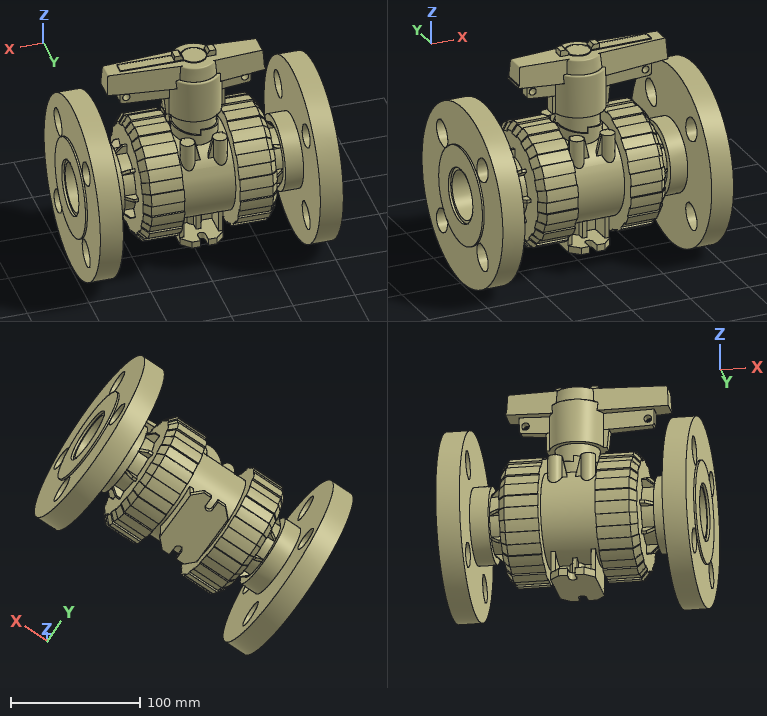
import cadquery as cq
import math


half_length = 100.0
bore_radius = 20.0

flange_radius = 75.0
flange_outer_x = 98.5
flange_inner_x = 79.7
raised_face_radius = 40.5
hub_radius = 30.6
hub_inner_x = 65.0
flange_bore_radius = 22.6

bolt_count = 4
inner_bolt_hole = (49.2, 7.95)
middle_bolt_hole = (52.5, 9.5)
outer_bolt_hole = (55.0, 9.0)

connector_end_x = 98.0
connector_collar_inner_x = 42.0
connector_collar_outer_x = 47.0
neck_radius = 24.6
neck_rib_count = 8
neck_rib_radius = 31.4
neck_rib_thickness = 2.5
neck_rib_slope_start_x = 58.0

nut_inner_x = 22.5
nut_outer_x = 54.3
nut_chamfer_length = 5.1
nut_chamfer_depth = 6.0
nut_ridge_radius = 50.5
nut_valley_radius = 49.0
nut_ridge_count = 16

body_radius = 38.0
stem_neck_radius = 17.6
stem_neck_top = 57.2

ratchet_radius = 19.0
ratchet_tooth_count = 4
ratchet_high = 46.8
ratchet_low = 41.8

post_x = 13.1
post_y = 26.6
post_radius = 5.75
post_top = 43.2
gusset_thickness = 2.9
gusset_slope = 0.235
gusset_y_offset_x = 15.4

foot_width = 35.2
foot_depth = 57.0
foot_corner = 7.5
foot_bottom = -56.2
foot_top = -50.3
foot_slot_width = 6.2
foot_slot_center_y = 21.0
leg_thickness = 3.5
leg_depth = 40.0
center_rib_thickness = 3.7
center_rib_depth = 25.2
foot_boss_radius = 6.2

handle_top = 104.5
handle_hub_radius = 21.9
handle_hub_top = 92.7
handle_hub_round = 1.5
handle_cap_base_radius = 19.4
handle_cap_radius = 17.9
handle_cap_round = 1.3

lever_left_x = -55.3
lever_right_x = 72.8
lever_end_bottom = 87.2
lever_root_bottom = 85.3
lever_root_x = 18.0
lever_left_lean = 0.7
lever_lip_depth = 0.9
lever_lip_top = 89.3
lever_right_lean = 0.9
lever_edge_round = 1.5
lever_root_half_width = 14.3
lever_left_half_width = 10.6
lever_right_half_width = 9.4
lever_side_draft = 2.3

web_root_thickness = 11.2
web_tip_thickness = 8.2
web_left_x = -45.4
web_right_x = 60.9
web_end_bottom = 73.6
web_root_bottom = 72.1
web_corner = 1.3
web_hole_radius = 2.9
web_hole_inset = 5.0
web_hole_z = 79.2
stop_thickness = 9.8
stop_left_x = -24.0
stop_right_top_x = 25.5
stop_right_bottom_x = 24.0

pad_height = 0.8
pad_disc_radius = 10.0
pad_strip_width = 9.0
lug_top = 109.37
lug_inner_x = 9.6
lug_outer_x = 16.7
lug_width = 8.4
lug_chamfer_x = 2.0
lug_chamfer_z = 2.6


def x_cylinder(radius, x_start, x_end):
    """Cylinder on the pipe axis."""
    return cq.Workplane("YZ", origin=(x_start, 0, 0)).circle(radius).extrude(x_end - x_start)


def z_cylinder(radius, z_start, z_end):
    """Cylinder on the stem axis."""
    return cq.Workplane("XY", origin=(0, 0, z_start)).circle(radius).extrude(z_end - z_start)


def block(x_range, y_range, z_range):
    """Box between the given limits."""
    corner = (x_range[0], y_range[0], z_range[0])
    size_x = x_range[1] - x_range[0]
    size_y = y_range[1] - y_range[0]
    size_z = z_range[1] - z_range[0]
    return cq.Workplane("XY", origin=corner).box(size_x, size_y, size_z, centered=False)


def plate_xz(points, thickness):
    """Plate with an outline in the XZ plane, centred on y = 0."""
    return cq.Workplane("XZ").polyline(points).close().extrude(thickness / 2, both=True)


def hole_point(hole, normal_x):
    """Point on a hole's upper half where the outward normal has the given first component."""
    center, radius = hole
    return (center + radius * normal_x, radius * math.sqrt(1 - normal_x ** 2))


def tangent_normal(inner_hole, outer_hole):
    """First component of the normal of the line that touches two holes from above."""
    return (inner_hole[1] - outer_hole[1]) / (outer_hole[0] - inner_hole[0])


def mirrored(point):
    return (point[0], -point[1])


def make_bolt_opening():
    """Oval bolt opening through the flange, lying on the +Y axis."""
    inner_normal = tangent_normal(inner_bolt_hole, middle_bolt_hole)
    outer_normal = tangent_normal(middle_bolt_hole, outer_bolt_hole)
    inner_tangent = hole_point(inner_bolt_hole, inner_normal)
    middle_start = hole_point(middle_bolt_hole, inner_normal)
    middle_top = hole_point(middle_bolt_hole, (inner_normal + outer_normal) / 2)
    middle_end = hole_point(middle_bolt_hole, outer_normal)
    outer_tangent = hole_point(outer_bolt_hole, outer_normal)
    return (
        cq.Workplane("YZ", origin=(flange_inner_x, 0, 0))
        .moveTo(*inner_tangent)
        .lineTo(*middle_start)
        .threePointArc(middle_top, middle_end)
        .lineTo(*outer_tangent)
        .threePointArc(hole_point(outer_bolt_hole, 1), mirrored(outer_tangent))
        .lineTo(*mirrored(middle_end))
        .threePointArc(mirrored(middle_top), mirrored(middle_start))
        .lineTo(*mirrored(inner_tangent))
        .threePointArc(hole_point(inner_bolt_hole, -1), inner_tangent)
        .close()
        .extrude(half_length - flange_inner_x)
    )


def make_flange():
    flange = x_cylinder(flange_radius, flange_inner_x, flange_outer_x)
    flange = flange.union(x_cylinder(raised_face_radius, flange_outer_x, half_length))
    flange = flange.union(x_cylinder(hub_radius, hub_inner_x, flange_inner_x))
    flange = flange.cut(x_cylinder(flange_bore_radius, hub_inner_x, half_length))
    bolt_opening = make_bolt_opening()
    for index in range(bolt_count):
        angle = (index + 0.5) * 360 / bolt_count
        flange = flange.cut(bolt_opening.rotate((0, 0, 0), (1, 0, 0), angle))
    return flange


def make_connector():
    connector = x_cylinder(body_radius, connector_collar_inner_x, connector_collar_outer_x)
    connector = connector.union(x_cylinder(neck_radius, connector_collar_outer_x, hub_inner_x))
    connector = connector.union(x_cylinder(flange_bore_radius, hub_inner_x, connector_end_x))
    rib_root_radius = (bore_radius + neck_radius) / 2
    rib_outline = [
        (nut_outer_x, rib_root_radius),
        (nut_outer_x, neck_rib_radius),
        (neck_rib_slope_start_x, neck_rib_radius),
        (hub_inner_x, neck_radius),
        (hub_inner_x, rib_root_radius),
    ]
    rib = plate_xz(rib_outline, neck_rib_thickness)
    for index in range(neck_rib_count):
        angle = index * 360 / neck_rib_count
        connector = connector.union(rib.rotate((0, 0, 0), (1, 0, 0), angle))
    return connector.cut(x_cylinder(bore_radius, connector_collar_inner_x, connector_end_x))


def nut_blank(radius):
    """Solid of revolution with a chamfered outer end."""
    outline = [
        (nut_inner_x, 0),
        (nut_inner_x, radius),
        (nut_outer_x - nut_chamfer_length, radius),
        (nut_outer_x, radius - nut_chamfer_depth),
        (nut_outer_x, 0),
    ]
    return cq.Workplane("XZ").polyline(outline).close().revolve(360, (0, 0, 0), (1, 0, 0))


def make_nut():
    ridge_pitch = 360 / nut_ridge_count
    half_ridge = math.radians(ridge_pitch / 4)
    reach = 2 * nut_ridge_radius
    sector = (
        cq.Workplane("YZ", origin=(nut_inner_x, 0, 0))
        .polyline([
            (0, 0),
            (reach, -reach * math.tan(half_ridge)),
            (reach, reach * math.tan(half_ridge)),
        ])
        .close()
        .extrude(nut_outer_x - nut_inner_x)
    )
    ridge = nut_blank(nut_ridge_radius).intersect(sector)
    nut = nut_blank(nut_valley_radius)
    for index in range(nut_ridge_count):
        angle = (index + 0.5) * ridge_pitch
        nut = nut.union(ridge.rotate((0, 0, 0), (1, 0, 0), angle))
    nut = nut.cut(x_cylinder(body_radius, nut_inner_x, connector_collar_outer_x))
    return nut.cut(x_cylinder(neck_radius, connector_collar_outer_x, nut_outer_x))


def make_ratchet_collar():
    """Collar round the stem neck whose top is a ring of sloping saw teeth."""
    sector_angle = 360 / ratchet_tooth_count
    half_angle = math.radians(sector_angle / 2)
    reach = 2 * ratchet_radius
    half_rise = (ratchet_high - ratchet_low) / 2
    slope = math.degrees(math.atan(half_rise / (ratchet_radius * math.sin(half_angle))))
    sector = (
        cq.Workplane("XY")
        .polyline([
            (0, 0),
            (reach, -reach * math.tan(half_angle)),
            (reach, reach * math.tan(half_angle)),
        ])
        .close()
        .extrude(stem_neck_top)
    )
    tooth = z_cylinder(ratchet_radius, 0, stem_neck_top).intersect(sector)
    above = block((-reach, reach), (-reach, reach), (0, reach)).rotate((0, 0, 0), (1, 0, 0), -slope)
    tooth = tooth.cut(above.translate((0, 0, ratchet_low + half_rise)))
    collar = z_cylinder(stem_neck_radius, 0, stem_neck_top)
    for index in range(ratchet_tooth_count):
        angle = (index + 0.5) * sector_angle
        collar = collar.union(tooth.rotate((0, 0, 0), (0, 0, 1), angle))
    return collar


def make_post():
    """Mounting post at +X, +Y with one gusset along X and one along Y."""
    post = cq.Workplane("XY").center(post_x, post_y).circle(post_radius).extrude(post_top)
    foot_reach = post_radius + gusset_slope * post_top
    gusset_outline = [(0, 0), (-foot_reach, 0), (-post_radius, post_top), (0, post_top)]
    gusset_x = plate_xz(gusset_outline, gusset_thickness).translate((post_x, post_y, 0))
    gusset_y = plate_xz(gusset_outline, gusset_thickness).rotate((0, 0, 0), (0, 0, 1), 90)
    gusset_y = gusset_y.translate((gusset_y_offset_x, post_y, 0))
    return post.union(gusset_x).union(gusset_y)


def make_foot():
    """Mounting foot below the body: slotted plate, two legs, centre rib and round boss."""
    plate = cq.Workplane("XY", origin=(0, 0, foot_bottom)).rect(foot_width, foot_depth)
    plate = plate.extrude(foot_top - foot_bottom).edges("|Z").chamfer(foot_corner)
    slot_reach = foot_depth / 2 - foot_slot_center_y
    for side in (-1, 1):
        slot = cq.Workplane("XY", origin=(0, side * foot_slot_center_y, foot_bottom))
        slot_end = slot.circle(foot_slot_width / 2).extrude(foot_top - foot_bottom)
        slot_run = slot.center(0, side * slot_reach / 2).rect(foot_slot_width, slot_reach)
        plate = plate.cut(slot_end).cut(slot_run.extrude(foot_top - foot_bottom))
    foot = plate.union(z_cylinder(foot_boss_radius, foot_top, 0))
    height = (foot_top, 0)
    half_width = foot_width / 2
    half_leg = leg_depth / 2
    foot = foot.union(block((half_width - leg_thickness, half_width), (-half_leg, half_leg), height))
    foot = foot.union(block((-half_width, leg_thickness - half_width), (-half_leg, half_leg), height))
    half_rib = center_rib_thickness / 2
    foot = foot.union(block((-half_rib, half_rib), (-center_rib_depth / 2, center_rib_depth / 2), height))
    return foot.union(block((-half_width, half_width), (-half_rib, half_rib), height))


def make_body():
    body = x_cylinder(body_radius, -connector_collar_inner_x, connector_collar_inner_x)
    body = body.union(make_ratchet_collar())
    post = make_post()
    post_pair = post.union(post.mirror("YZ"))
    body = body.union(post_pair).union(post_pair.mirror("XZ"))
    body = body.union(make_foot())
    return body.cut(x_cylinder(bore_radius, -connector_collar_inner_x, connector_collar_inner_x))


def make_handle_hub():
    """Round hub with a tapered cap on top."""
    outline = [
        (0, stem_neck_top),
        (handle_hub_radius, stem_neck_top),
        (handle_hub_radius, handle_hub_top),
        (handle_cap_base_radius, handle_hub_top),
        (handle_cap_radius, handle_top),
        (0, handle_top),
    ]
    hub = cq.Workplane("XZ").polyline(outline).close().revolve(360, (0, 0, 0), (0, 1, 0))
    hub = hub.edges(cq.selectors.RadiusNthSelector(-1)).edges(">Z").fillet(handle_hub_round)
    return hub.edges(">Z").fillet(handle_cap_round)


def lever_plan(narrowing):
    """Plan outline of the lever, widest at the stem axis, with its sides moved in by `narrowing`."""
    left = lever_left_half_width - narrowing
    root = lever_root_half_width - narrowing
    right = lever_right_half_width - narrowing
    return [
        (lever_left_x, -left),
        (0, -root),
        (lever_right_x, -right),
        (lever_right_x, right),
        (0, root),
        (lever_left_x, left),
    ]


def make_lever():
    height = handle_top - lever_root_bottom
    tapered = (
        cq.Workplane("XY", origin=(0, 0, lever_root_bottom))
        .polyline(lever_plan(0))
        .close()
        .workplane(offset=height)
        .polyline(lever_plan(lever_side_draft))
        .close()
        .loft(ruled=True)
    )
    side_outline = [
        (lever_left_x, lever_end_bottom),
        (-lever_root_x, lever_root_bottom),
        (lever_root_x, lever_root_bottom),
        (lever_right_x, lever_end_bottom),
        (lever_right_x - lever_right_lean, handle_top),
        (lever_left_x + lever_lip_depth + lever_left_lean, handle_top),
        (lever_left_x + lever_lip_depth, lever_lip_top),
        (lever_left_x, lever_lip_top),
    ]
    side = plate_xz(side_outline, 2 * lever_root_half_width)
    side = side.edges("|Y and >Z").fillet(lever_edge_round)
    return tapered.intersect(side)


def make_web():
    """Drilled web under the lever, thinner towards its tips, and the stop block beside the hub."""
    web_outline = [
        (web_left_x, lever_end_bottom),
        (web_left_x, web_end_bottom + web_corner),
        (web_left_x + web_corner, web_end_bottom),
        (stop_left_x, web_root_bottom),
        (stop_right_top_x, web_root_bottom),
        (web_right_x - web_corner, web_end_bottom),
        (web_right_x, web_end_bottom + web_corner),
        (web_right_x, lever_end_bottom),
    ]
    plan = [
        (web_left_x, -web_tip_thickness / 2),
        (0, -web_root_thickness / 2),
        (web_right_x, -web_tip_thickness / 2),
        (web_right_x, web_tip_thickness / 2),
        (0, web_root_thickness / 2),
        (web_left_x, web_tip_thickness / 2),
    ]
    web = plate_xz(web_outline, web_root_thickness)
    web = web.intersect(cq.Workplane("XY").polyline(plan).close().extrude(handle_top))
    for hole_x in (web_left_x + web_hole_inset, web_right_x - web_hole_inset):
        hole = cq.Workplane("XZ").center(hole_x, web_hole_z).circle(web_hole_radius)
        web = web.cut(hole.extrude(web_root_thickness, both=True))
    stop_outline = [
        (stop_left_x, web_root_bottom),
        (stop_left_x, stem_neck_top),
        (stop_right_bottom_x, stem_neck_top),
        (stop_right_top_x, web_root_bottom),
    ]
    return web.union(plate_xz(stop_outline, stop_thickness))


def make_top_marks():
    """Thin disc and strip on top of the handle, and a lug on each side of the disc."""
    pad_top = handle_top + pad_height
    marks = z_cylinder(pad_disc_radius, handle_top, pad_top)
    strip_range = (-pad_strip_width / 2, pad_strip_width / 2)
    marks = marks.union(block((0, web_right_x), strip_range, (handle_top, pad_top)))
    lug_outline = [
        (lug_inner_x, handle_top),
        (lug_outer_x, handle_top),
        (lug_outer_x, lug_top),
        (lug_inner_x + lug_chamfer_x, lug_top),
        (lug_inner_x, lug_top - lug_chamfer_z),
    ]
    lug = plate_xz(lug_outline, lug_width)
    return marks.union(lug).union(lug.mirror("YZ"))


def make_handle():
    return make_handle_hub().union(make_lever()).union(make_web()).union(make_top_marks())


flange = make_flange()
connector = make_connector()
nut = make_nut()
body = make_body()
handle = make_handle()

end_bodies = [part.solids() for part in (nut, connector, flange)]

result = cq.Compound.makeCompound([
    body.solids().val(),
    handle.solids().val(),
    *[part.val() for part in end_bodies],
    *[part.mirror("YZ").val() for part in end_bodies],
])